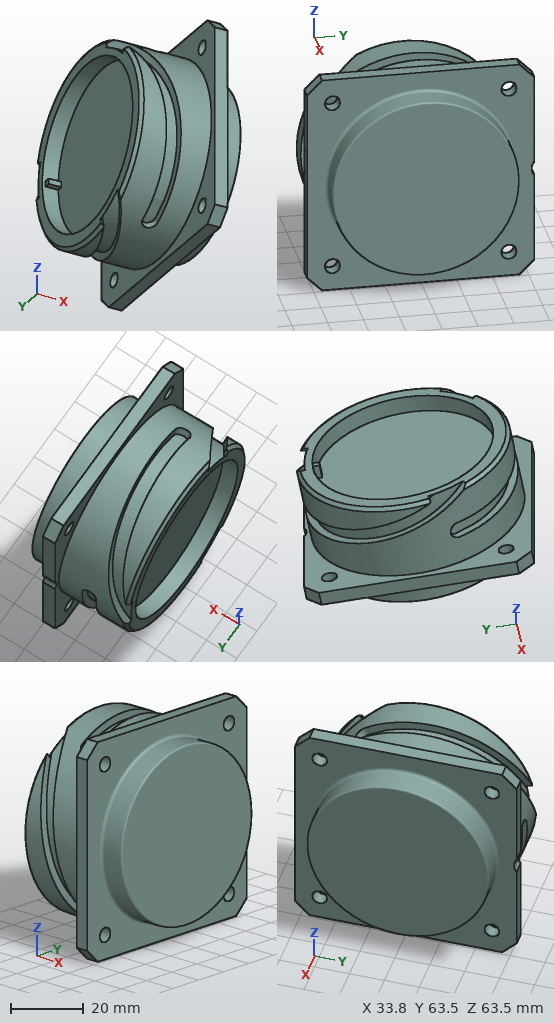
import cadquery as cq
import math

flange_side = 63.5
flange_thickness = 4.0
flange_corner_chamfer = 4.2
hole_spacing = 49.3
hole_diameter = 4.2
notch_radius = 3.0
notch_depth = 0.75

barrel_length = 22.2
barrel_radius = 29.85
barrel_chamfer = 1.0

recess_radius = 25.3
recess_depth = 5.0
key_width = 1.65
key_height = 1.85
key_length = 4.0

overall_length = 33.8
ring_radius = 26.05
ring_root_fillet = 0.9
ring_edge_fillet = 0.5

groove_count = 3
groove_width = 4.6
groove_floor_radius = 27.5
groove_end_x = 12.25
groove_end_angle = -63.7
level_sweep = 12.0
groove_step = 4.8
groove_steps = 27
cutter_clearance = 1.9
cutter_top_radius = barrel_radius + cutter_clearance
lead_square = 1.7
lead_fourth = 0.215
mouth_sweep = 108.7
mouth_length = 2.55

flange_back = barrel_length + flange_thickness


def cylinder_along_x(radius, start, end):
    return cq.Workplane("YZ", origin=(start, 0, 0)).circle(radius).extrude(end - start)


def make_barrel():
    barrel = cylinder_along_x(barrel_radius, 0, barrel_length)
    return barrel.faces("<X").chamfer(barrel_chamfer)


def make_flange():
    plate = (
        cq.Workplane("YZ", origin=(barrel_length, 0, 0))
        .rect(flange_side, flange_side)
        .extrude(flange_thickness)
        .edges("|X")
        .chamfer(flange_corner_chamfer)
    )
    holes = (
        cq.Workplane("YZ", origin=(barrel_length, 0, 0))
        .rect(hole_spacing, hole_spacing, forConstruction=True)
        .vertices()
        .circle(hole_diameter / 2)
        .extrude(flange_thickness)
    )
    notch_center_y = flange_side / 2 - notch_depth + notch_radius
    notch = cylinder_along_x(notch_radius, barrel_length, flange_back).translate((0, notch_center_y, 0))
    return plate.cut(holes).cut(notch)


def make_ring():
    """Rear ring with a concave fillet at the flange and a rounded rear edge."""
    root_x = flange_back + ring_root_fillet
    edge_x = overall_length - ring_edge_fillet
    root_mid = ring_root_fillet * (1 - math.sqrt(0.5))
    edge_mid = ring_edge_fillet * (1 - math.sqrt(0.5))
    return (
        cq.Workplane("XY")
        .moveTo(flange_back, 0)
        .lineTo(flange_back, ring_radius + ring_root_fillet)
        .threePointArc((flange_back + root_mid, ring_radius + root_mid), (root_x, ring_radius))
        .lineTo(edge_x, ring_radius)
        .threePointArc(
            (overall_length - edge_mid, ring_radius - edge_mid),
            (overall_length, ring_radius - ring_edge_fillet),
        )
        .lineTo(overall_length, 0)
        .close()
        .revolve(360, (0, 0, 0), (1, 0, 0))
    )


def make_key():
    """Small rectangular key on the +Y side of the recess wall, rooted in the wall."""
    root_y = (recess_radius + groove_floor_radius) / 2
    tip_y = recess_radius - key_height
    return (
        cq.Workplane("XY")
        .box(key_length, root_y - tip_y, key_width, centered=False)
        .translate((recess_depth - key_length, tip_y, -key_width / 2))
    )


def radial_direction(sweep):
    """Unit vector away from the X axis, `sweep` degrees from the groove's closed end."""
    angle = math.radians(groove_end_angle + sweep)
    return cq.Vector(0, -math.cos(angle), math.sin(angle))


def groove_section(sweep):
    """Rectangle across the groove, `sweep` degrees from its closed end."""
    turn = math.radians(sweep)
    center_x = groove_end_x - lead_square * turn**2 - lead_fourth * turn**4
    slope = -(2 * lead_square * turn + 4 * lead_fourth * turn**3) / groove_floor_radius
    outward = radial_direction(sweep)
    around = radial_direction(sweep + 90)
    along = (around + cq.Vector(slope, 0, 0)).normalized()
    across = along.cross(outward) * (groove_width / 2)
    floor = cq.Vector(center_x, 0, 0) + outward * groove_floor_radius
    top = cq.Vector(center_x, 0, 0) + outward * cutter_top_radius
    return cq.Wire.makePolygon([floor - across, floor + across, top + across, top - across], close=True)


def make_mouth_cutter():
    """Block that squares off the sharp tip left between the groove and the front chamfer."""
    mouth_plane = cq.Plane(
        origin=radial_direction(mouth_sweep) * groove_floor_radius,
        xDir=cq.Vector(1, 0, 0),
        normal=radial_direction(mouth_sweep + 90),
    )
    return (
        cq.Workplane(mouth_plane)
        .rect(barrel_chamfer, groove_floor_radius - cutter_top_radius, centered=False)
        .extrude(mouth_length)
    )


def make_groove_cutter():
    """Faceted channel with a round closed end and a squared-off mouth."""
    sweeps = [0.0] + [level_sweep + groove_step * step for step in range(groove_steps + 1)]
    channel = cq.Solid.makeLoft([groove_section(sweep) for sweep in sweeps], True)
    outward = radial_direction(0)
    round_end = cq.Solid.makeCylinder(
        groove_width / 2,
        cutter_top_radius - groove_floor_radius,
        cq.Vector(groove_end_x, 0, 0) + outward * groove_floor_radius,
        outward,
    )
    return cq.Workplane(channel).union(cq.Workplane(round_end)).union(make_mouth_cutter())


barrel = make_barrel().cut(cylinder_along_x(recess_radius, 0, recess_depth)).union(make_key())
groove_cutter = make_groove_cutter()
for index in range(groove_count):
    barrel = barrel.cut(groove_cutter.rotate((0, 0, 0), (1, 0, 0), index * 360 / groove_count))

result = barrel.union(make_flange()).union(make_ring())